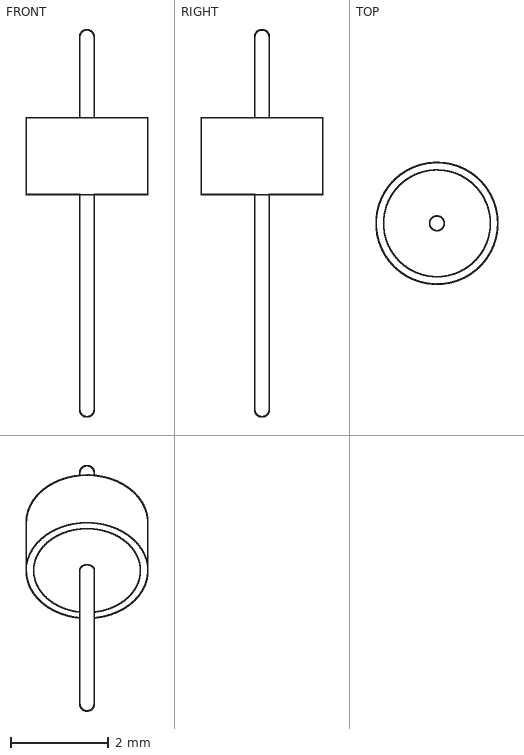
import cadquery as cq

pin_length = 7.97
pin_diameter = 0.3
pin_radius = pin_diameter / 2

sleeve_diameter = 2.51
sleeve_bore = 2.2
sleeve_height = 1.59
sleeve_bottom = 4.575
sleeve_top = sleeve_bottom + sleeve_height

bore_radius = sleeve_bore / 2
dish_depth = 0.052


def make_pin():
    """Revolve a half section whose ends are quarter circles, giving hemispherical tips."""
    return (
        cq.Workplane("XZ")
        .moveTo(0, 0)
        .radiusArc((pin_radius, pin_radius), -pin_radius)
        .lineTo(pin_radius, pin_length - pin_radius)
        .radiusArc((0, pin_length), -pin_radius)
        .close()
        .revolve(360, (0, 0, 0), (0, 1, 0))
    )


def make_sleeve():
    return (
        cq.Workplane("XY", origin=(0, 0, sleeve_bottom))
        .circle(sleeve_diameter / 2)
        .circle(bore_radius)
        .extrude(sleeve_height)
    )


def make_glass_seal():
    """Revolve the half section between the pin and the sleeve bore."""
    middle_radius = (pin_radius + bore_radius) / 2
    return (
        cq.Workplane("XZ")
        .moveTo(bore_radius, sleeve_bottom)
        .lineTo(bore_radius, sleeve_top)
        .threePointArc((middle_radius, sleeve_top - dish_depth), (pin_radius, sleeve_top))
        .lineTo(pin_radius, sleeve_bottom)
        .threePointArc((middle_radius, sleeve_bottom + dish_depth), (bore_radius, sleeve_bottom))
        .close()
        .revolve(360, (0, 0, 0), (0, 1, 0))
    )


pin = make_pin()
sleeve = make_sleeve()
glass_seal = make_glass_seal()

result = cq.Compound.makeCompound([pin.val(), sleeve.val(), glass_seal.val()])